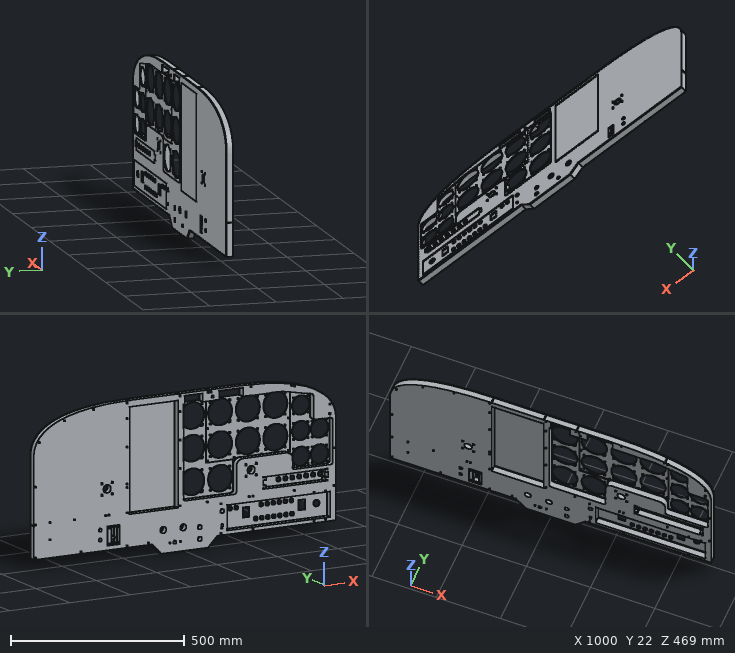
import cadquery as cq

total_depth = 22.0
plate_depth = 3.0
frame_depth = total_depth - plate_depth
y_front = -total_depth / 2
y_back = total_depth / 2
y_plate = y_back - plate_depth

half_width = 500.0
total_height = 469.0
top_z = total_height / 2
shoulder_z = 104.0
crown_half_width = 182.0
shoulder_handle = 89.0
crown_handle = 192.0
skirt_z = -203.0
tab_z = -top_z
tab_half_top = 108.0
tab_half_bottom = 77.0

screen_left, screen_right = -183.0, -22.0
screen_bottom, screen_top = -104.0, 215.0

cluster_left = -4.0
cluster_bottom = -86.0
cluster_top = 201.0
left_bay_right = 171.0
arch_z = 17.0
right_bay_left = 357.0
right_bay_right = 490.0
right_bay_bottom = -35.0
step_x = 426.0
step_z = 104.0
slope_start_x = 324.0
slope_end_z = 181.0
corner_radius = 8.0
arch_radius = 20.0

left_vent = (2.0, 58.0, 224.0)
right_vent = (116.0, 191.0, 225.0)
vent_bottom = 203.0
vent_margin = 2.0
vent_overlap = 10.0

plate_left, plate_right = 82.0, 359.0
plate_bottom = 13.0
plate_pin_inset = 5.0
plate_pin_upper_z = 114.0
plate_pin_columns = [175.0, 266.0]

groove_width = 2.0
groove_depth = 1.0
flat_groove_columns = [screen_left - groove_width, screen_right, plate_left - groove_width]
brow_groove = (355.0, 217.0)
side_groove_z = -103.0

gauge_diameter = 79.0
gauge_screw_offset = 32.0
gauge_screw_diameter = 4.5
gauge_columns = [36.0, 128.0, 220.0, 311.0]
gauge_rows = [159.0, 62.0, -38.0]
knob_diameter = 9.7
knob_offset = 30.0
small_gauge_diameter = 57.0
small_screw_spacing = 47.0
small_screw_diameter = 4.0
small_columns = [395.0, 457.0]
small_rows = [148.0, 72.0, -4.5]

switch_x, switch_z = 367.0, -64.0
switch_length, switch_height = 196.0, 36.0
switch_tab_length, switch_tab_height = 214.0, 16.0
switch_pin_x, switch_pin_z = 105.0, 17.0
switch_hole_diameter = 13.0
switch_pitch = 23.0
switch_count = 7
first_switch_x = 321.0
radio_left, radio_right = 140.0, 482.0
radio_bottom, radio_top = -191.0, -115.0
radio_hole_diameter = 12.0
radio_upper_z, radio_lower_z = -132.0, -172.0
radio_pitch = 20.0
radio_pair = [161.0, 181.0]
radio_upper_start, radio_upper_count = 264.0, 6
radio_lower_start, radio_lower_count = 246.0, 7
radio_knob_diameter = 19.0
radio_window_width, radio_window_height = 21.0, 30.0
radio_window_z = -149.0
radio_windows = [214.0, 398.0]
radio_knob = (447.0, -150.0)

bezel_left, bezel_right = -255.0, -216.0
bezel_bottom, bezel_top = -189.0, -132.0
bezel_depth = 3.0
bezel_screw_margin = 5.0
slot_left, slot_right = -242.0, -223.0
slot_bottom, slot_top = -185.0, -136.0
slit_right = -233.0
slit_bottom, slit_top = -172.0, -139.0
boss_x, boss_z = -231.0, -170.0
boss_diameter = 12.0
boss_height = 8.0

yoke_centers = [(-257.0, -20.0), (220.0, -20.0)]
yoke_diameter = 24.0
yoke_screw_offset = 17.0
yoke_screw_diameter = 5.2
control_holes = {
    19.0: [(-71.0, -164.0), (-5.0, -164.0)],
    13.0: [(50.0, -170.0), (50.0, -205.0)],
    12.0: [(124.0, -131.0)],
    9.7: [(-280.0, -140.0), (-280.0, -169.0), (-33.0, -205.0)],
    7.0: [(92.0, 213.0), (124.0, -173.0)],
}

pin_diameter = 3.5
pin_depth = 3.0
screen_pin_gap = 7.0
rim_pin_margin = 6.0
rim_pin_heights = [13.0, -99.0]
bottom_pin_z = skirt_z + rim_pin_margin
bottom_pin_columns = [-494.0, -343.0, -190.0, -120.0, 121.0, 226.0]
top_pin_z = 227.0
top_pin_columns = [-190.0, -15.0, 78.0, 88.0, 220.0]
brow_pins = [(-481.0, 144.0), (-398.0, 199.0), (-301.0, 221.0), (354.0, 215.0), (364.0, 212.0), (481.0, 144.0)]
screen_pin_heights = [181.0, 96.0, -99.0]
face_pins = [
    (-445.0, -98.0), (-445.0, -149.0), (-365.0, -99.0), (-261.0, -99.0),
    (-250.0, -99.0), (-190.0, -14.0), (-190.0, -24.0),
    (-15.0, 12.0), (75.0, -98.0), (214.0, -99.0), (226.0, -99.0), (363.0, -98.0), (121.0, -109.0), (123.0, -182.0),
    (-49.0, -205.0), (-14.0, -205.0), (429.0, -112.0), (467.0, -112.0), (429.0, -197.0), (467.0, -197.0),
]
lock_hole = (481.0, 116.0)
lock_hole_diameter = 5.2


def at_depth(y):
    """Workplane whose local axes are X and Z, and whose extrusions run toward +Y from depth y."""
    return cq.Workplane(cq.Plane(origin=(0, y, 0), xDir=(1, 0, 0), normal=(0, -1, 0)))


def block(left, right, bottom, top, y, depth):
    """Box between the given edges, running from y toward +Y."""
    corner = cq.Workplane("XY", origin=(left, y, bottom))
    return corner.box(right - left, depth, top - bottom, centered=False)


def drill(points, diameter, y=y_front, depth=total_depth):
    """Cylinders along Y at the given (x, z) points."""
    return at_depth(y).pushPoints(points).circle(diameter / 2).extrude(-depth)


def square_pattern(center, offset):
    x, z = center
    return [(x + sx * offset, z + sz * offset) for sx in (-1, 1) for sz in (-1, 1)]


def panel_blank(y, depth):
    """The full outline, with a curved brow and a tab in the middle of the bottom edge."""
    brow = [
        (half_width, shoulder_z),
        (half_width, shoulder_z + shoulder_handle),
        (crown_half_width + crown_handle, top_z),
        (crown_half_width, top_z),
    ]
    left_brow = [(-x, z) for x, z in brow]
    right_brow = list(reversed(brow))
    profile = (
        at_depth(y)
        .moveTo(-half_width, skirt_z)
        .lineTo(-half_width, shoulder_z)
        .bezier(left_brow)
        .lineTo(crown_half_width, top_z)
        .bezier(right_brow)
        .lineTo(half_width, skirt_z)
        .lineTo(tab_half_top, skirt_z)
        .lineTo(tab_half_bottom, tab_z)
        .lineTo(-tab_half_bottom, tab_z)
        .lineTo(-tab_half_top, skirt_z)
        .close()
    )
    return profile.extrude(-depth)


def round_corners(solid, corners, radius):
    """Fillet the edges along Y that stand at the given (x, z) corners."""
    reach = 1.0
    for x, z in corners:
        at_corner = cq.selectors.BoxSelector(
            (x - reach, y_front, z - reach), (x + reach, y_back, z + reach)
        )
        solid = solid.edges("|Y").edges(at_corner).fillet(radius)
    return solid


def instrument_opening(y, depth, margin):
    """Stepped opening over all the gauges, with the two vents above it widened by a margin."""
    arch_corners = [(right_bay_left, arch_z), (left_bay_right, arch_z)]
    left_bay_corners = [(left_bay_right, cluster_bottom), (cluster_left, cluster_bottom)]
    right_bay_corners = [
        (step_x, slope_end_z),
        (step_x, step_z),
        (right_bay_right, step_z),
        (right_bay_right, right_bay_bottom),
        (right_bay_left, right_bay_bottom),
    ]
    top_edge = [(cluster_left, cluster_top), (slope_start_x, cluster_top)]
    outline = top_edge + right_bay_corners + arch_corners + left_bay_corners
    opening = at_depth(y).polyline(outline).close().extrude(-depth)
    opening = round_corners(opening, arch_corners, arch_radius)
    opening = round_corners(opening, left_bay_corners + right_bay_corners, corner_radius)
    for left, right, top in (left_vent, right_vent):
        vent = block(left - margin, right + margin, cluster_top - vent_overlap, top + margin, y, depth)
        opening = opening.union(vent)
    return opening


def screen_recess(y, depth):
    return block(screen_left, screen_right, screen_bottom, screen_top, y, depth)


def radio_recess(y, depth):
    return block(radio_left, radio_right, radio_bottom, radio_top, y, depth)


def switch_recess(y, depth):
    center = at_depth(y).center(switch_x, switch_z)
    long_bar = center.rect(switch_tab_length, switch_tab_height).extrude(-depth)
    tall_bar = center.rect(switch_length, switch_height).extrude(-depth)
    return tall_bar.union(long_bar)


def lever_slot(y, depth):
    return block(slot_left, slot_right, slot_bottom, slot_top, y, depth)


def bezel_blank():
    return block(bezel_left, bezel_right, bezel_bottom, bezel_top, y_front, bezel_depth)


def panel_with_openings(y, depth, margin):
    """The outline with every recess and control hole cut through it."""
    panel = panel_blank(y, depth).cut(instrument_opening(y, depth, margin))
    for recess in (screen_recess, radio_recess, switch_recess, lever_slot):
        panel = panel.cut(recess(y, depth))
    return panel.cut(control_drills())


def control_drills():
    drills = drill(yoke_centers, yoke_diameter)
    for center in yoke_centers:
        drills = drills.union(drill(square_pattern(center, yoke_screw_offset), yoke_screw_diameter))
    for diameter, points in control_holes.items():
        drills = drills.union(drill(points, diameter))
    return drills


def rim_grooves():
    """Shallow grooves across the top and left edges of the frame."""
    floors = [(x, top_z - groove_depth) for x in flat_groove_columns] + [brow_groove]
    side_floor = groove_depth - half_width
    side_top = side_groove_z + groove_width
    grooves = block(-half_width, side_floor, side_groove_z, side_top, y_front, frame_depth)
    for left, floor in floors:
        grooves = grooves.union(block(left, left + groove_width, floor, top_z, y_front, frame_depth))
    return grooves


def face_pin_holes():
    pins = list(face_pins) + brow_pins
    pins += [(x, top_pin_z) for x in top_pin_columns]
    pins += [(x, bottom_pin_z) for x in bottom_pin_columns]
    pins += [(side * (half_width - rim_pin_margin), z) for side in (-1, 1) for z in rim_pin_heights]
    pins += [(screen_left - screen_pin_gap, z) for z in screen_pin_heights]
    pins += [(screen_right + screen_pin_gap, z) for z in screen_pin_heights]
    switch_sides = [switch_x - switch_pin_x, switch_x + switch_pin_x]
    pins += [(x, switch_z + side * switch_pin_z) for x in switch_sides for side in (-1, 1)]
    lock = drill([lock_hole], lock_hole_diameter, y_front, pin_depth)
    return drill(pins, pin_diameter, y_front, pin_depth).union(lock)


def make_frame():
    frame = panel_with_openings(y_front, frame_depth, vent_margin)
    return frame.cut(bezel_blank()).cut(face_pin_holes()).cut(rim_grooves())


def gauge_cutter():
    """Bores, screw holes and knob holes for all the gauges."""
    large = [(x, z) for z in gauge_rows[:2] for x in gauge_columns]
    large += [(x, gauge_rows[2]) for x in gauge_columns[:2]]
    small = [(small_columns[0], small_rows[0])]
    small += [(x, z) for z in small_rows[1:] for x in small_columns]
    right_knobs = [large[0], large[1], large[4], large[6], large[8]]
    left_knobs = [large[6]]
    knobs = [(x + knob_offset, z - knob_offset) for x, z in right_knobs]
    knobs += [(x - knob_offset, z - knob_offset) for x, z in left_knobs]
    large_screws = [point for center in large for point in square_pattern(center, gauge_screw_offset)]
    small_screws = [point for center in small for point in square_pattern(center, small_screw_spacing / 2)]
    cutter = drill(large, gauge_diameter, y_plate, plate_depth)
    for points, diameter in [
        (small, small_gauge_diameter),
        (knobs, knob_diameter),
        (large_screws, gauge_screw_diameter),
        (small_screws, small_screw_diameter),
    ]:
        cutter = cutter.union(drill(points, diameter, y_plate, plate_depth))
    return cutter


def make_back_sheet():
    return panel_with_openings(y_plate, plate_depth, 0)


def instrument_zone(left, right, bottom, top):
    """The part of the drilled instrument plates that lies between the given edges."""
    plates = instrument_opening(y_plate, plate_depth, 0).cut(gauge_cutter())
    return plates.intersect(block(left, right, bottom, top, y_plate, plate_depth))


def make_left_plate():
    beside = instrument_zone(cluster_left, plate_left, cluster_bottom, vent_bottom)
    below = instrument_zone(plate_left, left_bay_right, cluster_bottom, plate_bottom)
    return beside.union(below)


def make_centre_plate():
    low_z = plate_bottom + plate_pin_inset
    sides = [plate_left + plate_pin_inset, plate_right - plate_pin_inset]
    pins = [(x, z) for x in sides for z in (low_z, plate_pin_upper_z)]
    pins += [(x, low_z) for x in plate_pin_columns]
    plate = instrument_zone(plate_left, plate_right, plate_bottom, vent_bottom)
    return plate.cut(drill(pins, pin_diameter, y_plate, plate_depth))


def make_right_plate():
    beside = instrument_zone(plate_right, right_bay_right, right_bay_bottom, vent_bottom)
    below = instrument_zone(right_bay_left, plate_right, right_bay_bottom, plate_bottom)
    return beside.union(below)


def make_screen_plate():
    return screen_recess(y_plate, plate_depth)


def make_switch_plate():
    switches = [(first_switch_x + i * switch_pitch, switch_z) for i in range(switch_count)]
    return switch_recess(y_plate, plate_depth).cut(drill(switches, switch_hole_diameter))


def make_radio_plate():
    holes = [(x, radio_upper_z) for x in radio_pair]
    holes += [(radio_upper_start + i * radio_pitch, radio_upper_z) for i in range(radio_upper_count)]
    holes += [(radio_lower_start + i * radio_pitch, radio_lower_z) for i in range(radio_lower_count)]
    plate = radio_recess(y_plate, plate_depth).cut(drill(holes, radio_hole_diameter))
    plate = plate.cut(drill([radio_knob], radio_knob_diameter))
    windows = (
        at_depth(y_plate)
        .pushPoints([(x, radio_window_z) for x in radio_windows])
        .rect(radio_window_width, radio_window_height)
        .extrude(-plate_depth)
    )
    return plate.cut(windows)


def make_bezel():
    screws = [
        (x, z)
        for x in (bezel_left + bezel_screw_margin, bezel_right - bezel_screw_margin)
        for z in (bezel_bottom + bezel_screw_margin, bezel_top - bezel_screw_margin)
    ]
    ring = bezel_blank().cut(lever_slot(y_front, bezel_depth))
    return ring.cut(drill(screws, pin_diameter, y_front, bezel_depth))


def make_lever_base():
    """Floor of the lever slot, with a slit beside a round boss."""
    slit = block(slot_left, slit_right, slit_bottom, slit_top, y_plate, plate_depth)
    boss = drill([(boss_x, boss_z)], boss_diameter, y_plate - boss_height, boss_height + plate_depth)
    return lever_slot(y_plate, plate_depth).cut(slit).union(boss)


bodies = [
    make_frame(),
    make_back_sheet(),
    make_left_plate(),
    make_centre_plate(),
    make_right_plate(),
    make_screen_plate(),
    make_switch_plate(),
    make_radio_plate(),
    make_bezel(),
    make_lever_base(),
]

result = cq.Compound.makeCompound([body.solids().val() for body in bodies])